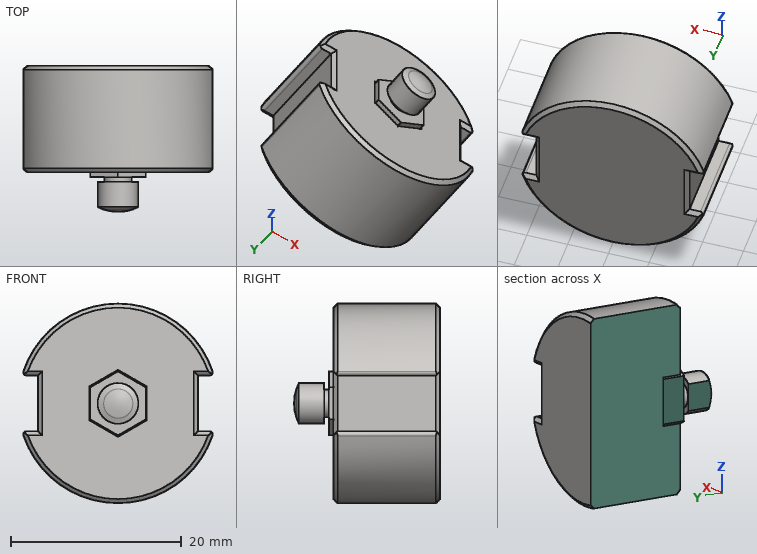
import cadquery as cq
import math

housing_radius = 11.7
housing_depth = 12.5
edge_chamfer = 0.5
slot_width = 6.5
slot_floor_x = 9.4
slot_corner_fillet = 0.4

hex_across_flats = 6.5
hex_clearance = 0.15
recess_depth = 2.35

hex_projection = 0.55
neck_radius = 1.65
neck_length = 0.56
head_radius = 2.4
head_length = 2.95
dome_height = 0.59
dome_ring_radius = 1.7

front_y = 0.0
back_y = front_y + housing_depth
recess_floor_y = front_y + recess_depth
hex_front_y = front_y - hex_projection


def hexagonal_prism(across_flats, start_y, end_y):
    """Prism along Y with two corners on the Z axis, running from start_y back to end_y."""
    corner_diameter = across_flats / math.cos(math.radians(30))
    return (
        cq.Workplane("XZ", origin=(0, end_y, 0))
        .transformed(rotate=(0, 0, 90))
        .polygon(6, corner_diameter)
        .extrude(end_y - start_y)
    )


def make_housing():
    """Chamfered disc with a slot along each side and a hexagonal recess in front."""
    disc = cq.Workplane("XZ", origin=(0, back_y, 0)).circle(housing_radius).extrude(housing_depth)

    slot_reach = housing_radius - slot_floor_x
    for side in (-1, 1):
        slot = cq.Workplane("XY").box(slot_reach, housing_depth, slot_width)
        slot_center_x = side * (slot_floor_x + slot_reach / 2)
        disc = disc.cut(slot.translate((slot_center_x, front_y + housing_depth / 2, 0)))

    disc = disc.faces("<Y or >Y").chamfer(edge_chamfer)

    lip_inner_x = (slot_floor_x + housing_radius) / 2
    for side in (-1, 1):
        lip_zone = cq.selectors.BoxSelector(
            (side * lip_inner_x, front_y, -slot_width),
            (side * housing_radius, back_y, slot_width),
        )
        disc = disc.edges("|Y").edges(lip_zone).fillet(slot_corner_fillet)

    recess = hexagonal_prism(hex_across_flats + 2 * hex_clearance, front_y, recess_floor_y)
    return disc.cut(recess)


def make_plunger():
    """Hexagonal base standing on the recess floor, with a turned neck and head."""
    base = hexagonal_prism(hex_across_flats, hex_front_y, recess_floor_y)

    head_back_y = hex_front_y - neck_length
    head_front_y = head_back_y - head_length
    tip_y = head_front_y - dome_height
    sphere_radius = (head_radius**2 + dome_height**2) / (2 * dome_height)
    sphere_center_y = tip_y + sphere_radius

    def dome_point(radius):
        return radius, sphere_center_y - math.sqrt(sphere_radius**2 - radius**2)

    turned = (
        cq.Workplane("XY")
        .moveTo(0, hex_front_y)
        .lineTo(neck_radius, hex_front_y)
        .lineTo(neck_radius, head_back_y)
        .lineTo(head_radius, head_back_y)
        .lineTo(head_radius, head_front_y)
        .lineTo(*dome_point(dome_ring_radius))
        .threePointArc(dome_point(dome_ring_radius / 2), (0, tip_y))
        .close()
        .revolve(360, (0, 0, 0), (0, 1, 0))
    )
    return base.union(turned)


housing = make_housing()
plunger = make_plunger()
result = cq.Compound.makeCompound([housing.val(), plunger.val()])